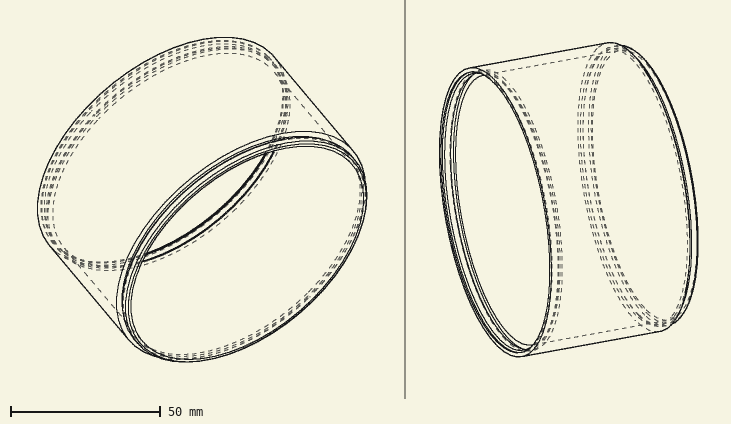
import cadquery as cq

total_length = 53.9
body_length = 50.0
relief_width = 1.3
relief_ramp = 0.3
spigot_chamfer = 0.7
socket_depth = 4.5
socket_mouth_length = 0.5
socket_relief_width = 1.3

body_diameter = 98.0
bore_diameter = 91.5
spigot_diameter = 95.0
relief_diameter = 93.7
socket_diameter = 94.0
socket_relief_diameter = 95.2
socket_mouth_diameter = 95.2

socket_chamfer = (socket_mouth_diameter - socket_diameter) / 2
relief_end = body_length + relief_width
socket_relief_start = socket_depth - socket_relief_width


def turned_solid(stations):
    """Revolve a profile of (x, diameter) stations around the X axis."""
    outline = [(x, diameter / 2) for x, diameter in stations]
    first_x = outline[0][0]
    last_x = outline[-1][0]
    return (
        cq.Workplane("XY")
        .polyline([(first_x, 0), *outline, (last_x, 0)])
        .close()
        .revolve(360, (0, 0, 0), (1, 0, 0))
    )


outside = turned_solid([
    (0, body_diameter),
    (body_length, body_diameter),
    (body_length, relief_diameter),
    (relief_end - relief_ramp, relief_diameter),
    (relief_end, spigot_diameter),
    (total_length - spigot_chamfer, spigot_diameter),
    (total_length, spigot_diameter - 2 * spigot_chamfer),
])

inside = turned_solid([
    (0, socket_mouth_diameter),
    (socket_mouth_length, socket_mouth_diameter),
    (socket_mouth_length + socket_chamfer, socket_diameter),
    (socket_relief_start, socket_diameter),
    (socket_relief_start, socket_relief_diameter),
    (socket_depth, socket_relief_diameter),
    (socket_depth, bore_diameter),
    (total_length, bore_diameter),
])

result = outside.cut(inside)